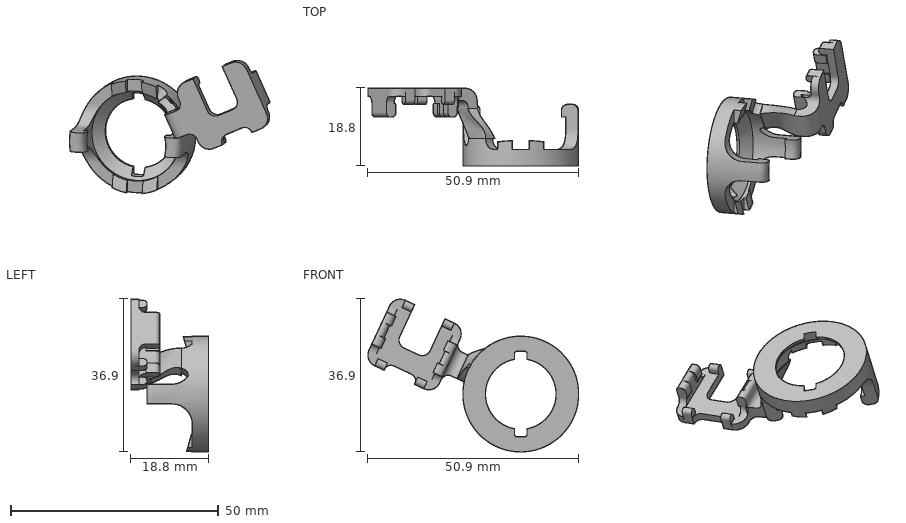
import cadquery as cq
import math

ARC_REACH = math.sqrt(0.5)
ARC_INSET = 1 - ARC_REACH


ring_radius = 14.0
cavity_radius = 11.1
bore_radius = 8.5
bore_edge = 0.65
cone_top = 3.25
rim_height = 4.0
key_width = 3.0
key_reach = 10.28
key_corner = 0.5

tooth_start = 2.0
tooth_end = 5.56
upper_tooth_height = 6.2
lower_tooth_height = 5.4
tooth_slope = 0.285
tooth_base = 8.0

hook_half_width = 2.4
hook_height = 14.94
hook_lip_height = 11.8
hook_lip_radius = 10.07
hook_rounding = 1.6
hook_root_radius = 4.85

clip_angle = 25.0
plate_top = 18.8
plate_thickness = 2.0
plate_bottom = plate_top - plate_thickness
plate_near = 18.87
plate_far = 37.7
plate_middle = (plate_near + plate_far) / 2
plate_length = plate_far - plate_near
plate_half_width = 8.75
plate_corner = 2.9
opening_half_width = 4.02
opening_floor = -1.82
opening_corner = 2.1
notch_floor = -6.83
notch_corner = 1.7

tab_length = 2.5
tab_width = 1.95
tab_bottom = 14.86

wall_thickness = 2.05
wall_half_width = 4.22
wall_bottom = 11.8
wall_root_radius = 1.65
nub_reach = 0.45
nub_inner_end = 1.67
nub_top = plate_bottom - wall_root_radius
nub_round = 1.08

arm_half_width = 3.15
arm_outer = 15.5
arm_thickness = 2.5
arm_bend_radius = 3.3
arm_corner_radius = 1.9
arch_crown = 15.85
arm_straight_height = 13.9
arm_foot_angle = 14.5
arm_foot_half_angle = 13.2
arm_foot_height = 6.6
arm_foot_root_radius = 2.5
arm_foot_overlap = 3.3
gap_bottom = 4.9
arm_sections = [
    (10.1, 14.27, 2.34, 13.0, 2.15),
    (12.0, 15.04, 1.0, 3.5, 2.35),
    (arm_straight_height, arm_outer, 0.0, 0.0, arm_thickness),
]


def block(x_range, y_range, z_range):
    """Box given by its limits along each axis."""
    return (
        cq.Workplane("XY")
        .box(x_range[1] - x_range[0], y_range[1] - y_range[0], z_range[1] - z_range[0], centered=False)
        .translate((x_range[0], y_range[0], z_range[0]))
    )


def wall_section():
    """Revolved envelope of the ring: conical floor, cylindrical wall and hook lip all the way round."""
    r = hook_rounding
    diagonal = r * ARC_REACH
    return (
        cq.Workplane("XZ")
        .moveTo(bore_radius, 0)
        .lineTo(ring_radius, 0)
        .lineTo(ring_radius, hook_height - r)
        .threePointArc(
            (ring_radius - r + diagonal, hook_height - r + diagonal), (ring_radius - r, hook_height)
        )
        .lineTo(hook_lip_radius + r, hook_height)
        .threePointArc(
            (hook_lip_radius + r - diagonal, hook_height - r + diagonal), (hook_lip_radius, hook_height - r)
        )
        .lineTo(hook_lip_radius, hook_lip_height)
        .lineTo(cavity_radius, hook_lip_height)
        .lineTo(cavity_radius, cone_top)
        .lineTo(bore_radius, bore_edge)
        .close()
        .revolve(360, (0, 0, 0), (0, 1, 0))
    )


def rim_outline():
    """Disc that keeps the wall up to the rim."""
    return cq.Workplane("XY").circle(2 * ring_radius).extrude(rim_height)


def teeth_outline():
    """Two pairs of teeth with sloping tops."""
    gap = block((-tooth_start, tooth_start), (-ring_radius, ring_radius), (rim_height, hook_height))
    outline = cq.Workplane("XY")
    for side, height in ((1, upper_tooth_height), (-1, lower_tooth_height)):
        wedge = (
            cq.Workplane("YZ")
            .moveTo(tooth_base * side, 0)
            .lineTo(side * ring_radius, 0)
            .lineTo(side * ring_radius, height)
            .lineTo(tooth_base * side, height - tooth_slope * (ring_radius - tooth_base))
            .close()
            .extrude(tooth_end, both=True)
        )
        outline = outline.add(wedge.cut(gap))
    return outline.combine()


def hooks_outline():
    """Bar across the ring with flared roots that keeps the two opposite hooks."""
    foot = hook_half_width + hook_root_radius
    flare = hook_root_radius * ARC_INSET
    return (
        cq.Workplane("YZ")
        .moveTo(-foot, 0)
        .lineTo(foot, 0)
        .lineTo(foot, rim_height)
        .threePointArc(
            (hook_half_width + flare, rim_height + flare), (hook_half_width, rim_height + hook_root_radius)
        )
        .lineTo(hook_half_width, hook_height)
        .lineTo(-hook_half_width, hook_height)
        .lineTo(-hook_half_width, rim_height + hook_root_radius)
        .threePointArc((-hook_half_width - flare, rim_height + flare), (-foot, rim_height))
        .close()
        .extrude(2 * ring_radius, both=True)
    )


def clip_plate():
    """Flat plate with a deep opening on one long side and a shallow notch on the other."""
    base = cq.Workplane("XY", origin=(plate_middle, 0, plate_bottom))
    plate = base.rect(plate_length, 2 * plate_half_width).extrude(plate_thickness)
    plate = plate.edges("|Z").fillet(plate_corner)
    for floor, edge, corner, inner_side in (
        (opening_floor, plate_half_width, opening_corner, "<Y"),
        (notch_floor, -plate_half_width, notch_corner, ">Y"),
    ):
        cutter = block(
            (plate_middle - opening_half_width, plate_middle + opening_half_width),
            (min(floor, edge), max(floor, edge)),
            (plate_bottom, plate_top),
        )
        plate = plate.cut(cutter.faces(inner_side).edges("|Z").fillet(corner))
    return plate


def tabs():
    """Four small tabs with fully rounded ends, beside the opening and the notch."""
    radius = tab_width / 2
    tab_root = plate_bottom + plate_thickness / 2
    all_tabs = cq.Workplane("XY")
    for side in (-1, 1):
        for end in (-1, 1):
            middle = side * (plate_half_width - radius)
            centre = plate_middle + end * (opening_half_width + tab_length / 2)
            tab = (
                cq.Workplane("YZ", origin=(centre, 0, 0))
                .moveTo(middle - radius, tab_root)
                .lineTo(middle - radius, tab_bottom + radius)
                .threePointArc((middle, tab_bottom), (middle + radius, tab_bottom + radius))
                .lineTo(middle + radius, tab_root)
                .close()
                .extrude(tab_length / 2, both=True)
            )
            all_tabs = all_tabs.add(tab)
    return all_tabs.combine()


def snap_wall():
    """Wall under the far plate edge with flared roots, a round lower edge and two inward nubs."""
    radius = wall_thickness / 2
    inner = plate_far - wall_thickness
    foot = wall_half_width + wall_root_radius
    section = (
        cq.Workplane("XZ")
        .moveTo(inner, plate_bottom)
        .lineTo(inner, wall_bottom + radius)
        .threePointArc((plate_far - radius, wall_bottom), (plate_far, wall_bottom + radius))
        .lineTo(plate_far, plate_bottom)
        .close()
        .extrude(foot, both=True)
    )
    flare = wall_root_radius * ARC_INSET
    outline = (
        cq.Workplane("YZ", origin=(inner, 0, 0))
        .moveTo(-foot, plate_bottom)
        .threePointArc((-wall_half_width - flare, plate_bottom - flare), (-wall_half_width, nub_top))
        .lineTo(-wall_half_width, wall_bottom)
        .lineTo(wall_half_width, wall_bottom)
        .lineTo(wall_half_width, nub_top)
        .threePointArc((wall_half_width + flare, plate_bottom - flare), (foot, plate_bottom))
        .close()
        .extrude(wall_thickness)
    )
    wall = section.intersect(outline)
    for span in ((-wall_half_width, -nub_inner_end), (nub_inner_end, wall_half_width)):
        nub = block((inner - nub_reach, plate_far - radius), span, (wall_bottom, nub_top))
        nub = nub.edges("<X and <Z").fillet(nub_round)
        nub = nub.edges("<X and >Z").fillet(nub_reach)
        wall = wall.union(nub)
    return wall


def arm_bridge():
    """Upper end of the arm: rounded over into the plate, arched above the gap to the near wall."""
    inner = arm_outer - arm_thickness
    arch_radius = (plate_near - arm_outer) / 2
    bend = arm_bend_radius * ARC_INSET
    widest = arm_half_width + arm_corner_radius
    bridge = (
        cq.Workplane("XZ")
        .moveTo(inner, arm_straight_height)
        .lineTo(inner, plate_top - arm_bend_radius)
        .threePointArc((inner + bend, plate_top - bend), (inner + arm_bend_radius, plate_top))
        .lineTo(plate_near + wall_thickness, plate_top)
        .lineTo(plate_near + wall_thickness, arch_crown - arch_radius)
        .lineTo(plate_near, arch_crown - arch_radius)
        .threePointArc((arm_outer + arch_radius, arch_crown), (arm_outer, arch_crown - arch_radius))
        .lineTo(arm_outer, arm_straight_height)
        .close()
        .extrude(widest, both=True)
    )
    flare_start = plate_near - arm_corner_radius
    flare = arm_corner_radius * ARC_INSET
    half_outline = (
        cq.Workplane("XY", origin=(0, 0, arm_straight_height))
        .moveTo(inner, 0)
        .lineTo(inner, arm_half_width)
        .lineTo(flare_start, arm_half_width)
        .threePointArc((plate_near - flare, arm_half_width + flare), (plate_near, widest))
        .lineTo(plate_near, 0)
        .close()
        .extrude(plate_top - arm_straight_height)
    )
    return bridge.intersect(half_outline.union(half_outline.mirror("XZ")))


def arm_section(height, outer, shift, twist, thickness):
    """Closed four-sided wire across the twisted part of the arm."""
    turn = math.radians(twist)
    corners = []
    for depth, side in ((0, -1), (0, 1), (thickness, 1), (thickness, -1)):
        across = side * arm_half_width
        x = outer - depth * math.cos(turn) - across * math.sin(turn)
        y = shift - depth * math.sin(turn) + across * math.cos(turn)
        corners.append(cq.Vector(x, y, height))
    return cq.Wire.makePolygon(corners, close=True)


def twisted_arm():
    """Lofted strip from the ring wall up to the straight end of the arm."""
    foot_turn = math.radians(arm_foot_angle)
    foot_outer = ring_radius * math.cos(math.radians(arm_foot_half_angle))
    foot = (foot_outer * math.cos(foot_turn), foot_outer * math.sin(foot_turn), arm_foot_angle)
    sections = [arm_section(arm_foot_height, *foot, ring_radius - cavity_radius)]
    sections += [arm_section(*values) for values in arm_sections]
    return cq.Workplane(obj=cq.Solid.makeLoft(sections, False))


def arm_foot_outline():
    """Block below the arm, with rounded roots along its side towards the rim and towards the hook."""
    centre = clip_angle + arm_foot_angle
    hook_angle = math.degrees(math.asin(hook_half_width / ring_radius))
    gap_radius = ring_radius * math.radians(centre - arm_foot_half_angle - hook_angle) / 2
    foot = cq.Workplane("XY")
    for side, radius, bottom in ((1, arm_foot_root_radius, rim_height), (-1, gap_radius, gap_bottom)):
        root = side * radius
        bend = radius * ARC_INSET
        half = (
            cq.Workplane("YZ")
            .moveTo(-side * arm_foot_overlap, 0)
            .lineTo(root, 0)
            .lineTo(root, bottom)
            .threePointArc((side * bend, bottom + bend), (0, bottom + radius))
            .lineTo(0, arm_foot_height)
            .lineTo(-side * arm_foot_overlap, arm_foot_height)
            .close()
            .extrude(2 * ring_radius)
        )
        foot = foot.add(half.rotate((0, 0, 0), (0, 0, 1), centre + side * arm_foot_half_angle))
    return foot.combine()


def ring():
    """Ring with everything that stands on its wall, and the two key slots in the bore."""
    outline = rim_outline().union(teeth_outline()).union(hooks_outline()).union(arm_foot_outline())
    keys = cq.Workplane("XY").rect(key_width, 2 * key_reach).extrude(rim_height)
    keys = keys.edges("|Z").fillet(key_corner)
    return wall_section().intersect(outline).cut(keys)


def clip():
    """Plate with tabs, snap walls and the arm, turned to its angle about the ring axis."""
    far_wall = snap_wall()
    near_wall = far_wall.mirror("YZ", (plate_middle, 0, 0))
    body = clip_plate().union(tabs()).union(far_wall).union(near_wall)
    body = body.union(arm_bridge()).union(twisted_arm())
    return body.rotate((0, 0, 0), (0, 0, 1), clip_angle)


part = ring().union(clip())
result = part.rotate((0, 0, 0), (1, 0, 0), 90).rotate((0, 0, 0), (0, 0, 1), 180)